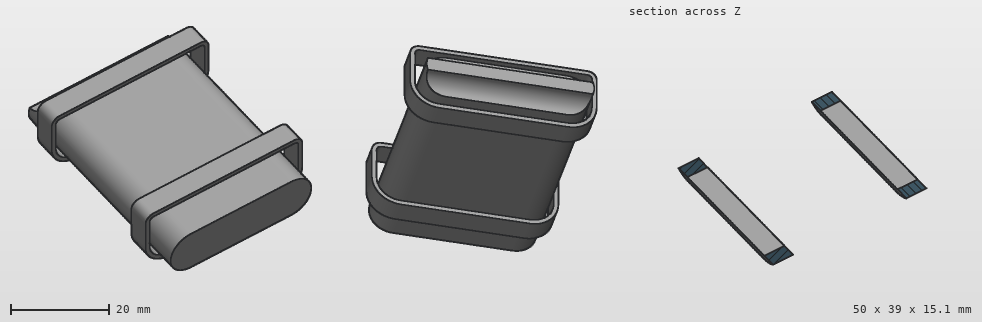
import cadquery as cq

core_length = 50.0
core_width = 35.0
core_height = 10.0
cove_radius = 3.5

strap_width = 5.0
strap_thickness = 1.0
strap_starts = (6.0, 39.0)
side_gap = 1.0
bottom_gap = 0.1
top_gap = 3.0
inner_top_radius = 1.0
inner_bottom_radius = core_height / 2

opening_width = core_width + 2 * side_gap
opening_bottom = -core_height / 2 - bottom_gap
opening_height = core_height + bottom_gap + top_gap


def make_core():
    """Round-sided slab with a cove cut along two edges of its -X end."""
    core = (
        cq.Workplane("YZ")
        .slot2D(core_width, core_height)
        .extrude(core_length)
    )
    coves = (
        cq.Workplane("XZ", origin=(0, core_width / 2, 0))
        .pushPoints([(0, core_height / 2), (0, -core_height / 2)])
        .circle(cove_radius)
        .extrude(core_width)
    )
    return core.cut(coves)


def rounded_bar(start, offset):
    """Bar with rounded long edges, grown outward from the strap opening by offset."""
    return (
        cq.Workplane("XY")
        .box(
            strap_width,
            opening_width + 2 * offset,
            opening_height + 2 * offset,
            centered=(False, True, False),
        )
        .translate((start, 0, opening_bottom - offset))
        .edges("|X and >Z")
        .fillet(inner_top_radius + offset)
        .edges("|X and <Z")
        .fillet(inner_bottom_radius + offset)
    )


def make_strap(start):
    """Band of constant thickness around the opening."""
    return rounded_bar(start, strap_thickness).cut(rounded_bar(start, 0))


core = make_core()
straps = [make_strap(start) for start in strap_starts]

result = cq.Compound.makeCompound([core.val(), *[strap.val() for strap in straps]])